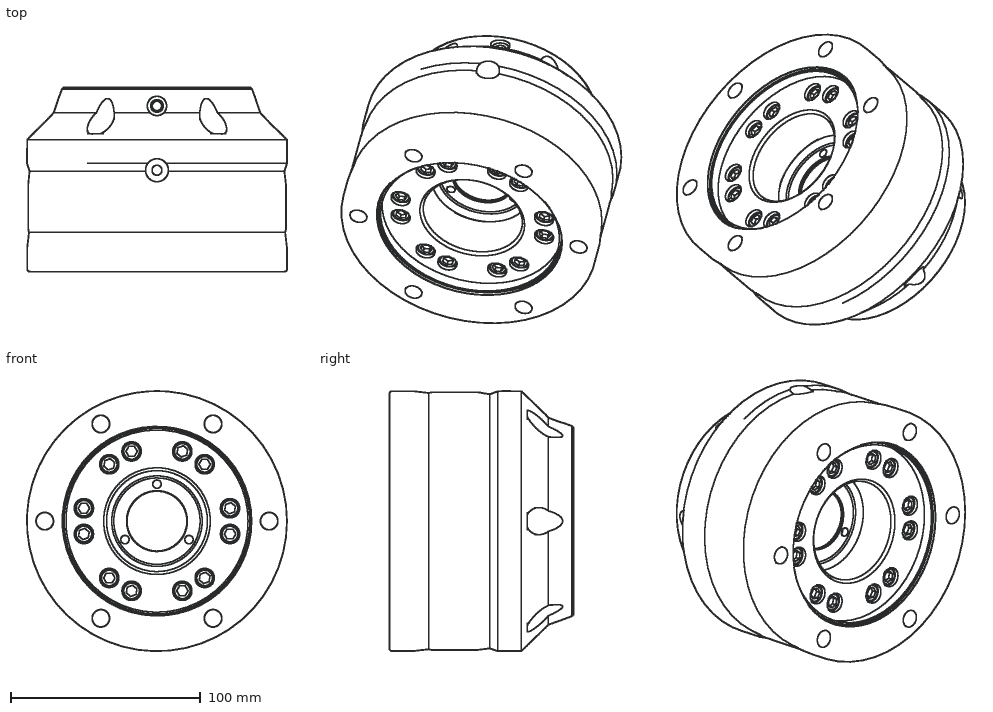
import cadquery as cq
import math

length = 97.0
body_radius = 68.5

front_fillet = 1.5
front_band_end = 12.5
front_groove_depth = 20.7
front_groove_radius = 67.5
grip_start = 22.5
grip_end = 45.9
grip_radius = 68.0
rear_groove_depth = 52.9
rear_groove_radius = 67.1
rear_band_start = 57.0
shoulder_start = 69.5
shoulder_depth = 70.3
shoulder_radius = 67.7
nose_start = 83.7
nose_radius = 54.7
nose_end_radius = 50.1
nose_chamfer = 1.0

recess_rim_radius = 49.9
recess_rim_fillet = 1.5
lip_radius = 48.0
lip_tip_depth = 4.2
lip_base_radius = 48.9
lip_base_depth = 4.7
recess_step_radius = 49.6
recess_step_depth = 3.0
recess_floor_radius = 48.4
recess_depth = 10.4

bore_radius = 26.6
bore_chamfer = 1.5
bore_depth = 34.5
relief_radius = 30.1
relief_depth = 37.5
seat_radius = 23.8
seat_floor_radius = 22.7
seat_depth = 38.1
hub_radius = 16.0
hub_step_depth = 38.9
hub_floor_radius = 15.8
hub_depth = 39.7

seat_hole_radius = 2.2
seat_hole_circle = 19.5
seat_hole_depth = 4.1
seat_hole_angles = (90, 210, 330)

mount_count = 6
mount_circle = 59.0
mount_hole_radius = 4.5
spot_face_radius = 7.1
spot_face_depth = 72.6

screw_circle = 39.0
screw_half_angle = 10
screw_hole_radius = 5.1
screw_head_recess = 1.8
screw_head_face_radius = 4.1
screw_head_chamfer = 0.5
socket_across_flats = 5.2
socket_depth = 2.6
hexagon_sides = 6

plug_position = 53.4
plug_radius = 6.0
plug_floor_height = 49.3
plug_pilot_radius = 2.6
plug_pilot_depth = 11.0
port_position = 87.3
port_radius = 5.1
port_floor_height = 49.3
port_countersink_radius = 3.3
port_pilot_radius = 2.5
port_pilot_depth = 8.2


def polar(radius, angle):
    """X and Z of a point on a circle about the part's axis."""
    return radius * math.cos(math.radians(angle)), radius * math.sin(math.radians(angle))


def turned(profile):
    """Revolve a (radius, depth) sketch about the Y direction through its own origin."""
    return profile.close().revolve(360, (0, 0, 0), (0, 1, 0))


def axial_plane(radius, angle, depth):
    """Workplane facing +Y, placed on a circle about the part's axis."""
    x, z = polar(radius, angle)
    return cq.Workplane(cq.Plane(origin=(x, depth, z), xDir=(1, 0, 0), normal=(0, 1, 0)))


def make_body():
    fillet_mid = front_fillet * (1 - math.sqrt(0.5))
    profile = (
        cq.Workplane("XY")
        .lineTo(body_radius - front_fillet, 0)
        .threePointArc((body_radius - fillet_mid, fillet_mid), (body_radius, front_fillet))
        .lineTo(body_radius, front_band_end)
        .lineTo(front_groove_radius, front_groove_depth)
        .lineTo(grip_radius, grip_start)
        .lineTo(grip_radius, grip_end)
        .lineTo(rear_groove_radius, rear_groove_depth)
        .lineTo(body_radius, rear_band_start)
        .lineTo(body_radius, shoulder_start)
        .lineTo(shoulder_radius, shoulder_depth)
        .lineTo(nose_radius, nose_start)
        .lineTo(nose_end_radius, length - nose_chamfer)
        .lineTo(nose_end_radius - nose_chamfer, length)
        .lineTo(0, length)
    )
    return turned(profile)


def make_front_recess():
    mouth_radius = recess_rim_radius + recess_rim_fillet
    fillet_mid = recess_rim_fillet * (1 - math.sqrt(0.5))
    profile = (
        cq.Workplane("XY")
        .lineTo(mouth_radius, 0)
        .threePointArc(
            (recess_rim_radius + fillet_mid, fillet_mid),
            (recess_rim_radius, recess_rim_fillet),
        )
        .lineTo(recess_rim_radius, recess_step_depth)
        .lineTo(recess_step_radius, recess_step_depth)
        .lineTo(recess_step_radius, lip_base_depth)
        .lineTo(lip_base_radius, lip_base_depth)
        .lineTo(lip_radius, lip_tip_depth)
        .lineTo(recess_floor_radius, recess_depth)
        .lineTo(bore_radius + bore_chamfer, recess_depth)
        .lineTo(bore_radius, recess_depth + bore_chamfer)
        .lineTo(bore_radius, bore_depth)
        .lineTo(relief_radius, bore_depth)
        .lineTo(relief_radius, relief_depth)
        .lineTo(seat_radius, relief_depth)
        .lineTo(seat_floor_radius, seat_depth)
        .lineTo(hub_radius, seat_depth)
        .lineTo(hub_radius, hub_step_depth)
        .lineTo(hub_floor_radius, hub_step_depth)
        .lineTo(hub_floor_radius, hub_depth)
        .lineTo(0, hub_depth)
    )
    return turned(profile)


def make_seat_hole(angle):
    center = axial_plane(seat_hole_circle, angle, seat_depth)
    return center.circle(seat_hole_radius).extrude(seat_hole_depth)


def make_mounting_hole(angle):
    hole = axial_plane(mount_circle, angle, 0).circle(mount_hole_radius).extrude(length)
    spot_face = (
        axial_plane(mount_circle, angle, spot_face_depth)
        .circle(spot_face_radius)
        .extrude(length - spot_face_depth)
    )
    return hole.union(spot_face)


def make_screw_cut(angle):
    """Space around a recessed screw: the hole, the chamfer of the head and its hexagon socket."""
    x, z = polar(screw_circle, angle)
    head_depth = recess_depth + screw_head_recess
    head_side_depth = head_depth + screw_head_chamfer
    clearance = (
        cq.Workplane("XY", origin=(x, 0, z))
        .moveTo(0, recess_depth)
        .lineTo(screw_hole_radius, recess_depth)
        .lineTo(screw_hole_radius, head_side_depth)
        .lineTo(screw_head_face_radius + screw_head_chamfer, head_side_depth)
        .lineTo(screw_head_face_radius, head_depth)
        .lineTo(0, head_depth)
    )
    socket = (
        axial_plane(screw_circle, angle, head_depth)
        .polygon(hexagon_sides, socket_across_flats / math.cos(math.pi / hexagon_sides))
        .extrude(socket_depth)
        .rotate((x, 0, z), (x, 1, z), -(angle + screw_half_angle))
    )
    return turned(clearance).union(socket)


def make_radial_hole(depth, radius, floor_height, pilot_radius, pilot_depth):
    """Flat-bottomed hole along Z from outside, with a narrower pilot below its floor."""
    floor = cq.Workplane("XY", origin=(0, depth, floor_height))
    hole = floor.circle(radius).extrude(body_radius - floor_height)
    pilot = floor.circle(pilot_radius).extrude(-pilot_depth)
    return hole.union(pilot)


def make_plug_hole():
    return make_radial_hole(
        plug_position, plug_radius, plug_floor_height, plug_pilot_radius, plug_pilot_depth
    )


def make_port_hole():
    """Radial hole whose pilot has a 45 degree countersink."""
    hole = make_radial_hole(
        port_position, port_radius, port_floor_height, port_pilot_radius, port_pilot_depth
    )
    countersink_depth = port_countersink_radius - port_pilot_radius
    countersink = (
        cq.Workplane("XY", origin=(0, port_position, port_floor_height))
        .circle(port_countersink_radius)
        .workplane(offset=-countersink_depth)
        .circle(port_pilot_radius)
        .loft()
    )
    return hole.union(countersink)


result = make_body().cut(make_front_recess())

for seat_hole_angle in seat_hole_angles:
    result = result.cut(make_seat_hole(seat_hole_angle))

for index in range(mount_count):
    mount_angle = index * 360 / mount_count
    result = result.cut(make_mounting_hole(mount_angle))
    for offset in (-screw_half_angle, screw_half_angle):
        result = result.cut(make_screw_cut(mount_angle + offset))

result = result.cut(make_plug_hole()).cut(make_port_hole())